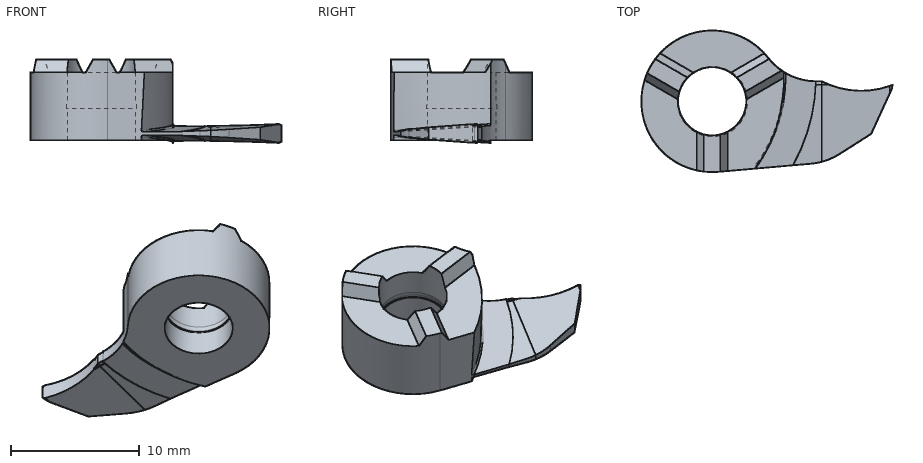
import cadquery as cq
import math

hub_radius = 5.5
hub_height = 5.27
bore_radius = 2.64
groove_bottom = 2.5
groove_top = 3.1
groove_wall_top = 2.72
groove_depth = 0.08

tooth_count = 3
first_tooth_angle = 30
tooth_height = 1.0
tooth_base_width = 2.4
tooth_top_width = 1.27

neck_edge_y = 1.56
neck_blend_end_x = 8.05
tip_start_x = 8.5
tip_point = (14.0, 1.28)
rake_low_point = (11.57, 0.82)
end_corner = (12.34, -2.53)
nose_start = (13.96, 1.0)
heel_slope_angle = 5.0
belly_slope_angle = 32.5
belly_radius = 5.0

blade_mid_z = 0.53
tip_half_thickness = 0.757
face_slope_x = 0.031
face_slope_y = 0.0576

sweep_center = (-6.11, 1.9)
shoulder_radius = 11.68
shoulder_fillet = 0.14
face_start_radius = 14.16
neck_slope_y = 0.063
neck_half_thickness = 0.585

flat_edge_y = 1.28
flat_end_x = 9.9
flat_half_thickness = 0.5

bevel_length = 0.22
bevel_drop = 0.13

reach = 30.0


def point_on_circle(radius, degrees):
    angle = math.radians(degrees)
    return (radius * math.cos(angle), radius * math.sin(angle))


def tilted(shape, origin, slope_x, slope_y):
    """Move a shape so that its XY plane rises with the given slopes from the given origin."""
    plane = cq.Plane(origin=origin, xDir=(1, 0, slope_x), normal=(-slope_x, -slope_y, 1))
    return cq.Workplane(shape.val().moved(plane.location))


def on_face(shape):
    """Set a shape on the upper flat blade face, its origin at the cutting point."""
    origin = (*tip_point, blade_mid_z + tip_half_thickness)
    return tilted(shape, origin, face_slope_x, face_slope_y)


def on_neck(shape):
    """Set a shape on the upper neck face, its origin on the sweep axis."""
    origin = (*sweep_center, blade_mid_z + neck_half_thickness)
    return tilted(shape, origin, 0, neck_slope_y)


def mirrored_below(shape):
    """Copy a shape to the other side of the blade's mid plane."""
    return shape.mirror("XY", (0, 0, blade_mid_z))


def block(x_range, y_range, z_range):
    """Box between the low and high limits given for each axis."""
    ranges = (x_range, y_range, z_range)
    size = [high - low for low, high in ranges]
    corner = tuple(low for low, high in ranges)
    return cq.Workplane().box(*size, centered=False).translate(corner)


def plan_outline():
    """Hub circle, concave neck, hollow cutting edge, sloped end and rounded belly."""
    end_distance_squared = neck_blend_end_x**2 + neck_edge_y**2
    blend_radius = (end_distance_squared - hub_radius**2) / (2 * (hub_radius - neck_edge_y))
    blend_center_y = neck_edge_y + blend_radius
    blend_angle = math.degrees(math.atan2(blend_center_y, neck_blend_end_x))
    hub_leave = point_on_circle(hub_radius, blend_angle)

    heel_start = point_on_circle(hub_radius, heel_slope_angle - 90)
    heel_slope = math.tan(math.radians(heel_slope_angle))
    belly_slope = math.tan(math.radians(belly_slope_angle))
    heel_offset = heel_start[1] - heel_slope * heel_start[0]
    belly_offset = end_corner[1] - belly_slope * end_corner[0]
    corner_x = (heel_offset - belly_offset) / (belly_slope - heel_slope)
    corner_y = heel_offset + heel_slope * corner_x

    turn = math.radians(belly_slope_angle - heel_slope_angle)
    setback = belly_radius * math.tan(turn / 2)
    heel_step = point_on_circle(setback, heel_slope_angle)
    belly_step = point_on_circle(setback, belly_slope_angle)
    belly_end = (corner_x + belly_step[0], corner_y + belly_step[1])
    heel_end = (corner_x - heel_step[0], corner_y - heel_step[1])

    return (
        cq.Workplane()
        .moveTo(*heel_start)
        .threePointArc((-hub_radius, 0), hub_leave)
        .tangentArcPoint((neck_blend_end_x, neck_edge_y), relative=False)
        .lineTo(tip_start_x, neck_edge_y)
        .threePointArc(rake_low_point, tip_point)
        .lineTo(*nose_start)
        .lineTo(*end_corner)
        .lineTo(*belly_end)
        .tangentArcPoint(heel_end, relative=False)
        .close()
    )


def teeth():
    """Radial ridges of trapezoid section, from the axis outward."""
    profile = [
        (-tooth_base_width / 2, hub_height),
        (tooth_base_width / 2, hub_height),
        (tooth_top_width / 2, hub_height + tooth_height),
        (-tooth_top_width / 2, hub_height + tooth_height),
    ]
    ridge = cq.Workplane("YZ").polyline(profile).close().extrude(2 * hub_radius)
    ridges = cq.Workplane()
    for index in range(tooth_count):
        angle = first_tooth_angle + index * 360 / tooth_count
        ridges = ridges.add(ridge.rotate((0, 0, 0), (0, 0, 1), angle))
    return ridges.combine()


def neck_sweep():
    """Ring removed above the neck, with the filleted hub shoulder as its inner wall."""
    fillet_end_radius = shoulder_radius + shoulder_fillet
    inset = shoulder_fillet * (1 - math.sqrt(0.5))
    ring = (
        cq.Workplane("XZ")
        .moveTo(shoulder_radius, shoulder_fillet)
        .threePointArc((shoulder_radius + inset, inset), (fillet_end_radius, 0))
        .lineTo(face_start_radius, 0)
        .lineTo(face_start_radius, reach)
        .lineTo(shoulder_radius, reach)
        .close()
        .revolve(360, (0, 0), (0, 1))
    )
    return on_neck(ring)


def sweep_cylinder(radius):
    """Long cylinder about the sweep axis."""
    return on_neck(cq.Workplane().circle(radius).extrude(reach, both=True))


def face_cut():
    """Everything removed above the flat blade face, outside the neck."""
    slab = cq.Workplane().rect(2 * reach, 2 * reach).extrude(reach)
    return on_face(slab).cut(sweep_cylinder(face_start_radius))


def point_bevel():
    """Wedge that slopes down over the last stretch before the point, and on past it."""
    profile = [
        (-bevel_length, 0),
        (bevel_length, -2 * bevel_drop),
        (bevel_length, tip_half_thickness),
        (-bevel_length, tip_half_thickness),
    ]
    wedge = (
        cq.Workplane("XZ")
        .polyline(profile)
        .close()
        .extrude(hub_radius, both=True)
    )
    return on_face(wedge)


def joint_flat():
    """Block removed above the small flat."""
    top = blade_mid_z + flat_half_thickness
    return block((neck_blend_end_x, flat_end_x), (flat_edge_y, hub_radius), (top, hub_height))


def bore_groove():
    """Shallow groove around the bore: flat ledge, straight wall and tapered upper side."""
    profile = [
        (0, groove_bottom),
        (bore_radius + groove_depth, groove_bottom),
        (bore_radius + groove_depth, groove_wall_top),
        (bore_radius, groove_top),
        (0, groove_top),
    ]
    return cq.Workplane("XZ").polyline(profile).close().revolve(360, (0, 0), (0, 1))


def whole_insert():
    depth_below = tip_half_thickness
    insert = plan_outline().extrude(hub_height + depth_below).translate((0, 0, -depth_below))
    tooth_limit = plan_outline().extrude(hub_height + tooth_height)
    insert = insert.union(teeth().intersect(tooth_limit))

    for cutter in (neck_sweep(), face_cut(), joint_flat(), point_bevel()):
        insert = insert.cut(cutter).cut(mirrored_below(cutter))

    below_hub = block((-reach, reach), (-reach, reach), (-reach, 0))
    insert = insert.cut(below_hub.intersect(mirrored_below(sweep_cylinder(shoulder_radius))))

    bore = cq.Workplane().circle(bore_radius).extrude(reach)
    return insert.cut(bore).cut(bore_groove())


insert = whole_insert()
tip_side = block((tip_start_x, reach), (-reach, reach), (-reach, reach))

holder = insert.cut(tip_side)

cutting_tip = insert.intersect(tip_side)

result = cq.Compound.makeCompound([holder.val(), cutting_tip.val()])